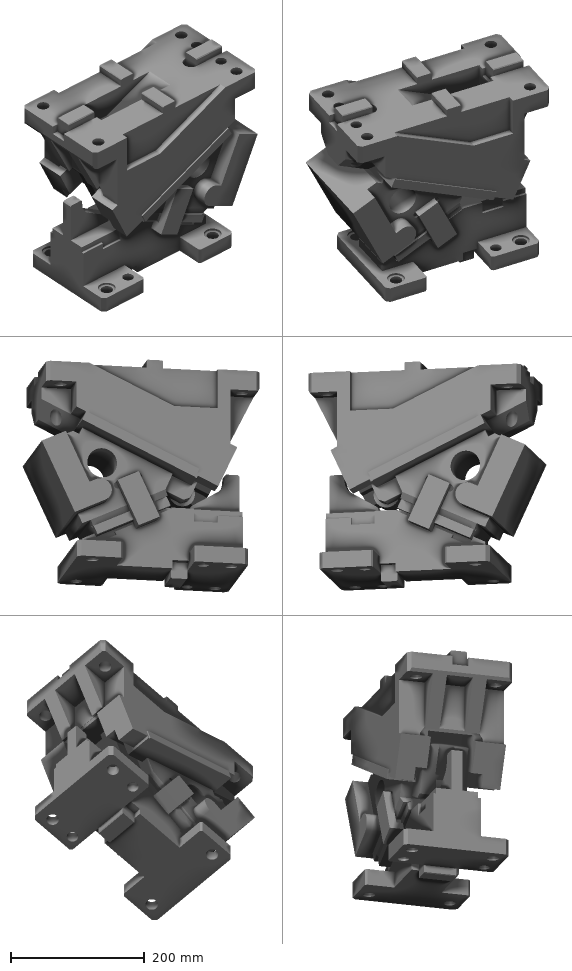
import cadquery as cq
import math


SLOPE = math.radians(25)
COS, SIN = math.cos(SLOPE), math.sin(SLOPE)

HALF_WIDTH = 82.5
CORNER_CHAMFER = 5.5
SCREW_X = 62.3
SCREW_RADIUS = 9.3
DOWEL_RADIUS = 8.5
KEY_CHAMFER = 1.3

FOOT_HEIGHT = 25.0
FRONT_FOOT_END = 82.5
REAR_FOOT_START = 192
BASE_LENGTH = 260.5
FOOT_INNER_CHAMFER = 3.0
FOOT_HOLE_X = 63.3
FOOT_SCREW_Y = (23.5, 235.0)
FOOT_DOWEL_Y = 66.0
COUNTERBORE_RADIUS = 13.3
COUNTERBORE_DEPTH = 3.3
COLUMN_HALF = 37.0
COLUMN_TOP = 94.0
COLUMN_END = 244.5
RELIEF_DEPTH = 4.0
RELIEF_STEP_Y = 39.0
RELIEF_FRONT_Z, RELIEF_REAR_Z = 85.0, 74.5
TOWER_HALF = 8.5
TOWER_TOP = 157.5
TOWER_END = 75.0
TOWER_CHAMFER = 2.0
TOWER_BACK = (22.2, TOWER_TOP)
THROAT_TOP, THROAT_MIDDLE, THROAT_BOTTOM = (23.5, 144.0), (26.2, 137.0), (32.5, 130.0)
SLOPE_FOOT = (73, 106)
HEEL_Z = 103.5
BASE_KEY_HALF = 25.5
BASE_KEY_Y = (82.5, 107.7)
BASE_KEY_Z = (-12.3, 13.0)

RAMP_START_Y, RAMP_START_Z = 224.3, 43.5
COLUMN_ALONG_RAMP = 5.0
RAIL_LENGTH = 125.2
RAIL_HALF = 40.5
RAIL_STEM_HALF = 27.2
RAIL_STEM_DEPTH = 4.3
RAIL_RELIEF_DEPTH = 9.5
RAIL_RELIEF_STEP = 30.0
FLANGE_HALF = 50.7
FLANGE_HEIGHT = 14.0
FLANGE_LENGTH = 87.8
VEE_EDGE_X, VEE_EDGE_UP = 47.0, 14.2
VEE_CREST_X, VEE_CREST_UP = 33.8, 17.0

BODY_HALF = 51.5
BODY_REAR, BODY_BOTTOM, BODY_TOP = -14.5, 24.0, 159
BODY_TOP_END = 32.8
ARM_HALF = 75.5
ARM_REAR, ARM_FRONT = -25.0, 15.5
ARM_BOTTOM, ARM_STEP = 39.8, 74.0
ARM_TIP = 43.5
BORE_Y, BORE_Z, BORE_RADIUS = 217.5, 154.0, 22.5
BRACKET_HALF = 63.5
BRACKET_INNER = 41.0
BRACKET_ALONG = (60.3, 95.8)
BRACKET_UP = (-13.3, 62.5)
BRACKET_FOOT_UP = -0.5
RELIEF_HOLE_RADIUS = 5.3
RELIEF_HOLE_UP = 57.0
RELIEF_HOLE_DEPTH = 3.3
NOSE_HALF = 33.5
NOSE_ALONG = (159, 199.0)
NOSE_UP = (-38.0, 45.0)
NOSE_CHAMFER = 7.5
NOSE_SLOT_HALF = 12.5
NOSE_SLOT_DEPTH = 10.3
STOP_HALF = 11.0
STOP_RADIUS = 20
STOP_Y, STOP_Z = 88.0, 124.0

GUIDE_START_Y, GUIDE_START_Z = 247.8, 223.5
SLIDER_TOP_UP = -15.5
SLIDER_NOTCH_UP = -26.2
SLIDER_NOTCH_ALONG = 7.3
WEAR_PAD_HALF = 49.7
GUIDE_BOTTOM_UP = -14.5
STRIP_HALF = 84.5
STRIP_LENGTH = 190.0

HOLDER_FRONT, HOLDER_REAR = -17.2, 307.8
PLATE_TOP, PLATE_BOTTOM = 299.5, 269.5
BODY_FRONT, REAR_BLOCK_START = 27.8, 262.7
BEVEL_TOP = 274.3
LEG_ALONG = (192.5, 227.0)
LEG_UP = (-10.3, 58.0)
LEG_CHANNEL_HALF = 53
LEG_CHANNEL_UP = 10.5
CHANNEL_HALF = 35.5
CHANNEL_WIDE_HALF = 40.0
CHANNEL_START = 152.5
CHANNEL_UP = 65.5
MOUTH_START = 209.0
MOUTH_HALF, MOUTH_TOP_HALF = 49.5, 42.0
MOUTH_SHOULDER_UP = 61.3
MOUTH_TOP_UP = 71.0
LIP_TOP_HALF, LIP_BOTTOM_HALF = 39.0, 16.0
LIP_UP = -23.5
RIB_X = (20.5, 42.0)
RIB_TOE_Y = 22.5
RIB_BOTTOM_UP = 69.2
POCKET_HALF = 23.0
POCKET_Y = (48.5, 186.0)
POCKET_DEPTH = 40.5
SIDE_POCKET_INNER = 72.0
SIDE_POCKET_Y = (47.5, 243.0)
SIDE_POCKET_DEPTH = 60.3
HOLDER_SCREW_Y = (7.5, 283.3)
HOLDER_DOWEL_X = 27.5
KEY_TOP = 311.8
KEY_HALF = 12.5
KEY_SLOT_FLOOR = 286.3
FRONT_KEY_Y = (-8.0, 43.5)
REAR_KEY_Y = (247.5, 299.0)
REAR_SLOT_CENTRE = 247.8
CROSS_KEY_Y = (128.5, 153.5)
CROSS_KEY_X = (23.0, 72.0)


def on_ramp(along, up):
    """(Y, Z) of a point given from the rear foot of the ramp, along it toward the front and off it."""
    return RAMP_START_Y - along * COS + up * SIN, RAMP_START_Z + along * SIN + up * COS


def on_guide(along, up):
    """(Y, Z) of a point given from the rear end of the guide, along it toward the front and off it."""
    return GUIDE_START_Y - along * COS - up * SIN, GUIDE_START_Z - along * SIN + up * COS


def guide_height(y):
    """Height of the guide line above a Y position."""
    return GUIDE_START_Z + (y - GUIDE_START_Y) * SIN / COS


def box(x, y, z):
    """A box between pairs of limits."""
    size = [limits[1] - limits[0] for limits in (x, y, z)]
    return cq.Workplane("XY").box(*size, centered=False).translate((x[0], y[0], z[0]))


def slab(points, half):
    """A side outline of (Y, Z) points, extruded to both sides of the symmetry plane."""
    return cq.Workplane("YZ").polyline(points).close().extrude(half, both=True)


def mirrored(shape):
    """The shape together with its mirror image across X = 0."""
    return shape.union(shape.mirror("YZ"))


def slab_pair(points, inner, outer):
    """A side outline extruded between two distances from the symmetry plane, on both sides."""
    layer = cq.Workplane("YZ").workplane(offset=inner).polyline(points).close().extrude(outer - inner)
    return mirrored(layer)


def sloped_box(place, along, up):
    """Corner points of a rectangle given in the ramp or guide directions."""
    return [place(along[0], up[0]), place(along[1], up[0]), place(along[1], up[1]), place(along[0], up[1])]


def sloped_bar(place, along, profile):
    """A symmetric cross-section, given by its +X points (x, up), extruded along the ramp or guide."""
    y0, z0 = place(along[0], 0)
    y1, z1 = place(along[1], 0)
    plane = cq.Plane(origin=(0, y0, z0), xDir=(1, 0, 0), normal=(0, y1 - y0, z1 - z0))
    points = profile + [(-x, up) for x, up in reversed(profile)]
    return cq.Workplane(plane).polyline(points).close().extrude(along[1] - along[0])


def vertical_holes(places, radius, z):
    """Cylinders at (X, Y) places between two heights."""
    return cq.Workplane("XY").workplane(offset=z[0]).pushPoints(places).circle(radius).extrude(z[1] - z[0])




def make_feet():
    """Front and rear feet with corner chamfers, counterbored screw holes and front dowel holes."""
    front = box((-HALF_WIDTH, HALF_WIDTH), (0, FRONT_FOOT_END), (0, FOOT_HEIGHT))
    rear = box((-HALF_WIDTH, HALF_WIDTH), (REAR_FOOT_START, BASE_LENGTH), (0, FOOT_HEIGHT))
    front = front.faces("<Y").edges("|Z").chamfer(CORNER_CHAMFER)
    front = front.faces(">Y").edges("|Z").chamfer(FOOT_INNER_CHAMFER)
    rear = rear.faces(">Y").edges("|Z").chamfer(CORNER_CHAMFER)
    rear = rear.faces("<Y").edges("|Z").chamfer(FOOT_INNER_CHAMFER)
    feet = front.union(rear)

    screws = [(side * FOOT_HOLE_X, y) for side in (-1, 1) for y in FOOT_SCREW_Y]
    dowels = [(side * FOOT_HOLE_X, FOOT_DOWEL_Y) for side in (-1, 1)]
    feet = feet.cut(vertical_holes(screws, SCREW_RADIUS, (0, FOOT_HEIGHT)))
    counterbore_z = (FOOT_HEIGHT - COUNTERBORE_DEPTH, FOOT_HEIGHT)
    feet = feet.cut(vertical_holes(screws, COUNTERBORE_RADIUS, counterbore_z))
    return feet.cut(vertical_holes(dowels, DOWEL_RADIUS, (0, FOOT_HEIGHT)))


def make_column():
    rear_top = RAMP_START_Z + (RAMP_START_Y - COLUMN_END) * SIN / COS + COLUMN_ALONG_RAMP / COS
    flat_end = COLUMN_END - (COLUMN_TOP - rear_top) * COS / SIN
    outline = [(0, 0), (0, COLUMN_TOP), (flat_end, COLUMN_TOP), (COLUMN_END, rear_top), (COLUMN_END, 0)]
    column = slab(outline, COLUMN_HALF)

    front_relief = [
        (0, COLUMN_TOP), (0, RELIEF_FRONT_Z), (RELIEF_STEP_Y, RELIEF_FRONT_Z),
        (RELIEF_STEP_Y, RELIEF_REAR_Z), (TOWER_END, RELIEF_REAR_Z), (TOWER_END, COLUMN_TOP),
    ]
    rail_relief = [
        on_ramp(0, COLUMN_ALONG_RAMP), on_ramp(0, -RAIL_RELIEF_DEPTH),
        on_ramp(RAIL_RELIEF_STEP, -RAIL_RELIEF_DEPTH), on_ramp(RAIL_RELIEF_STEP, -RAIL_STEM_DEPTH),
        on_ramp(RAIL_LENGTH, -RAIL_STEM_DEPTH), on_ramp(RAIL_LENGTH, COLUMN_ALONG_RAMP),
    ]
    for relief in (front_relief, rail_relief):
        column = column.cut(slab_pair(relief, COLUMN_HALF - RELIEF_DEPTH, COLUMN_HALF))
    return column


def make_rail():
    """Rail with a vee-shaped top; its rear part carries the flanges that the slider brackets hook under."""
    head = sloped_bar(on_ramp, (0, RAIL_LENGTH), [
        (RAIL_STEM_HALF, -RAIL_STEM_DEPTH), (RAIL_STEM_HALF, 0), (RAIL_HALF, 0),
        (RAIL_HALF, FLANGE_HEIGHT), (VEE_CREST_X, VEE_CREST_UP),
    ])
    flange = sloped_bar(on_ramp, (0, FLANGE_LENGTH), [(FLANGE_HALF, 0), (FLANGE_HALF, FLANGE_HEIGHT)])
    return head.union(flange)


def make_tower():
    outline = (
        cq.Workplane("YZ").moveTo(0, COLUMN_TOP).lineTo(0, TOWER_TOP).lineTo(*TOWER_BACK)
        .lineTo(*THROAT_TOP).threePointArc(THROAT_MIDDLE, THROAT_BOTTOM).lineTo(*SLOPE_FOOT)
        .lineTo(TOWER_END, HEEL_Z).lineTo(TOWER_END, COLUMN_TOP).close()
    )
    return outline.extrude(TOWER_HALF, both=True).faces(">Z").edges("|X").chamfer(TOWER_CHAMFER)


def make_base():
    key = box((-BASE_KEY_HALF, BASE_KEY_HALF), BASE_KEY_Y, BASE_KEY_Z)
    key = key.faces("<Z").edges("|X").chamfer(KEY_CHAMFER)
    key_slot = box((-COLUMN_HALF, COLUMN_HALF), BASE_KEY_Y, (0, BASE_KEY_Z[1]))
    column = make_column().cut(key_slot)
    return column.union(make_feet()).union(make_rail()).union(make_tower()).union(key)




def make_slider_body():
    body = slab([
        on_ramp(BODY_REAR, BODY_BOTTOM), on_ramp(RAIL_LENGTH, BODY_BOTTOM),
        on_guide(NOSE_ALONG[0], SLIDER_TOP_UP),
        on_guide(SLIDER_NOTCH_ALONG, SLIDER_TOP_UP), on_guide(SLIDER_NOTCH_ALONG, SLIDER_NOTCH_UP),
        on_ramp(BODY_TOP_END, BODY_TOP), on_ramp(BODY_REAR, BODY_TOP),
    ], BODY_HALF)
    vee = sloped_bar(on_ramp, (0, RAIL_LENGTH), [
        (VEE_CREST_X, VEE_CREST_UP), (VEE_EDGE_X, VEE_EDGE_UP), (BODY_HALF, BODY_BOTTOM),
    ])
    pad_along = (SLIDER_NOTCH_ALONG, NOSE_ALONG[0])
    wear_pad = slab(sloped_box(on_guide, pad_along, (SLIDER_TOP_UP, GUIDE_BOTTOM_UP)), WEAR_PAD_HALF)
    return body.union(vee).union(wear_pad)


def make_arms():
    """L-shaped plate across the rear of the slider, wider than its body."""
    tip_radius = (ARM_STEP - ARM_BOTTOM) / 2
    tip_centre = ARM_TIP - tip_radius
    outline = (
        cq.Workplane("YZ").moveTo(*on_ramp(ARM_REAR, ARM_BOTTOM)).lineTo(*on_ramp(tip_centre, ARM_BOTTOM))
        .threePointArc(on_ramp(ARM_TIP, ARM_BOTTOM + tip_radius), on_ramp(tip_centre, ARM_STEP))
        .lineTo(*on_ramp(ARM_FRONT, ARM_STEP)).lineTo(*on_ramp(ARM_FRONT, BODY_TOP))
        .lineTo(*on_ramp(ARM_REAR, BODY_TOP)).close()
    )
    return outline.extrude(ARM_HALF, both=True)


def make_brackets():
    """L-shaped brackets on both sides, with feet reaching under the rail flanges."""
    foot_up = (BRACKET_UP[0], BRACKET_FOOT_UP)
    sides = slab_pair(sloped_box(on_ramp, BRACKET_ALONG, BRACKET_UP), BODY_HALF, BRACKET_HALF)
    feet = slab_pair(sloped_box(on_ramp, BRACKET_ALONG, foot_up), BRACKET_INNER, BRACKET_HALF)
    return sides.union(feet)


def bracket_corner_reliefs():
    centres = [on_ramp(along, RELIEF_HOLE_UP) for along in BRACKET_ALONG]
    floor = cq.Workplane("YZ").workplane(offset=BODY_HALF - RELIEF_HOLE_DEPTH)
    return mirrored(floor.pushPoints(centres).circle(RELIEF_HOLE_RADIUS).extrude(RELIEF_HOLE_DEPTH))


def make_nose():
    """Central block running in the holder channel, slotted for the tower, with a rounded stop below."""
    rear, front = NOSE_ALONG
    bottom, top = NOSE_UP
    nose = slab([
        on_guide(rear, top), on_guide(rear, bottom), on_guide(front - NOSE_CHAMFER, bottom),
        on_guide(front, bottom + NOSE_CHAMFER), on_guide(front, top),
    ], NOSE_HALF)
    slot = slab(sloped_box(on_guide, (front - NOSE_SLOT_DEPTH, front), (0, top)), NOSE_SLOT_HALF)
    stop = cq.Workplane("YZ").center(STOP_Y, STOP_Z).circle(STOP_RADIUS).extrude(STOP_HALF, both=True)
    return nose.cut(slot).union(stop)


def make_slider():
    bore = cq.Workplane("YZ").center(BORE_Y, BORE_Z).circle(BORE_RADIUS).extrude(ARM_HALF, both=True)
    slider = make_slider_body().union(make_arms()).cut(bore).cut(bracket_corner_reliefs())
    return slider.union(make_brackets()).union(make_nose())




def make_plate():
    plate = box((-HALF_WIDTH, HALF_WIDTH), (HOLDER_FRONT, HOLDER_REAR), (PLATE_BOTTOM, PLATE_TOP))
    return plate.edges("|Z").chamfer(CORNER_CHAMFER)


def make_holder_body():
    leg_rear, leg_front = LEG_ALONG
    leg_bottom, leg_top = LEG_UP
    body = slab([
        (BODY_FRONT, PLATE_BOTTOM), (REAR_BLOCK_START, PLATE_BOTTOM),
        (REAR_BLOCK_START, guide_height(REAR_BLOCK_START)), on_guide(0, 0),
        on_guide(0, GUIDE_BOTTOM_UP), on_guide(leg_rear, GUIDE_BOTTOM_UP),
        on_guide(leg_rear, leg_bottom), on_guide(leg_front, leg_bottom), on_guide(leg_front, leg_top),
        (BODY_FRONT, guide_height(BODY_FRONT) + leg_top / COS),
    ], HALF_WIDTH)
    strip = slab(sloped_box(on_guide, (0, STRIP_LENGTH), (GUIDE_BOTTOM_UP, 0)), STRIP_HALF)
    nose_channel = sloped_bar(on_guide, (CHANNEL_START, leg_front), [
        (CHANNEL_WIDE_HALF, GUIDE_BOTTOM_UP), (CHANNEL_WIDE_HALF, LEG_CHANNEL_UP),
        (CHANNEL_HALF, LEG_CHANNEL_UP), (CHANNEL_HALF, CHANNEL_UP),
    ])
    leg_channel = slab(sloped_box(on_guide, LEG_ALONG, (GUIDE_BOTTOM_UP, LEG_CHANNEL_UP)), LEG_CHANNEL_HALF)
    mouth = sloped_bar(on_guide, (MOUTH_START, leg_front), [
        (MOUTH_HALF, leg_top), (MOUTH_HALF, MOUTH_SHOULDER_UP), (MOUTH_TOP_HALF, MOUTH_TOP_UP),
    ])
    return body.union(strip).cut(nose_channel).cut(leg_channel).cut(mouth)


def make_rear_block():
    """Narrower block behind the body, ending below in a vee lip that slopes with the guide."""
    block = slab([
        (REAR_BLOCK_START, PLATE_BOTTOM), (HOLDER_REAR, PLATE_BOTTOM),
        (HOLDER_REAR, guide_height(HOLDER_REAR)), on_guide(0, 0),
    ], LIP_TOP_HALF)
    lip_start = (GUIDE_START_Y - HOLDER_REAR) / COS + LIP_UP
    lip = sloped_bar(on_guide, (lip_start, 0), [(LIP_BOTTOM_HALF, LIP_UP), (LIP_TOP_HALF, 0)])
    limit = box((-HALF_WIDTH, HALF_WIDTH), (0, HOLDER_REAR), (0, PLATE_TOP))
    return block.union(lip.intersect(limit))


def rib_bottom(y):
    """Height of the rib undersides, which run parallel to the guide, at a Y position."""
    return guide_height(y) + RIB_BOTTOM_UP / COS


def make_ribs():
    outline = [
        (BODY_FRONT, PLATE_BOTTOM), (HOLDER_FRONT, BEVEL_TOP),
        (RIB_TOE_Y, rib_bottom(RIB_TOE_Y)), (BODY_FRONT, rib_bottom(BODY_FRONT)),
    ]
    return slab_pair(outline, *RIB_X)


def front_bevel():
    """Wedge that continues the sloping rib fronts across the lower front edge of the plate."""
    rib_run = (RIB_TOE_Y - HOLDER_FRONT) / (BEVEL_TOP - rib_bottom(RIB_TOE_Y))
    bevel_depth = (BEVEL_TOP - PLATE_BOTTOM) * rib_run
    return slab([
        (HOLDER_FRONT, BEVEL_TOP), (HOLDER_FRONT, PLATE_BOTTOM), (HOLDER_FRONT + bevel_depth, PLATE_BOTTOM),
    ], HALF_WIDTH)


def pocket_outline(y, depth):
    """Pocket with a flat front floor and a rear floor that slopes up with the guide to the plate top."""
    front, rear = y
    floor = PLATE_TOP - depth
    return [(front, PLATE_TOP), (front, floor), (rear - depth * COS / SIN, floor), (rear, PLATE_TOP)]


def long_key(y):
    """Key along Y, seated in a slot of the plate."""
    key = box((-KEY_HALF, KEY_HALF), y, (KEY_SLOT_FLOOR, KEY_TOP))
    return key.faces(">Z").edges("|Y").chamfer(KEY_CHAMFER)


def cross_keys():
    right = box(CROSS_KEY_X, CROSS_KEY_Y, (PLATE_TOP, KEY_TOP))
    return mirrored(right.faces(">Z").edges("|X").chamfer(KEY_CHAMFER))


def key_slots():
    height = (KEY_SLOT_FLOOR, PLATE_TOP)
    front = box((-KEY_HALF, KEY_HALF), (HOLDER_FRONT, POCKET_Y[0]), height)
    rear = box((-KEY_HALF, KEY_HALF), (REAR_SLOT_CENTRE, HOLDER_REAR), height)
    return front.union(rear).union(vertical_holes([(0, REAR_SLOT_CENTRE)], KEY_HALF, height))


def make_holder():
    holder = make_plate().union(make_holder_body()).union(make_rear_block()).union(make_ribs())
    holder = holder.cut(front_bevel()).cut(key_slots())
    holder = holder.cut(slab(pocket_outline(POCKET_Y, POCKET_DEPTH), POCKET_HALF))
    side_pocket = pocket_outline(SIDE_POCKET_Y, SIDE_POCKET_DEPTH)
    holder = holder.cut(slab_pair(side_pocket, SIDE_POCKET_INNER, HALF_WIDTH))

    front_screw_y, rear_y = HOLDER_SCREW_Y
    front_screws = [(side * SCREW_X, front_screw_y) for side in (-1, 1)]
    rear_screws = [(side * SCREW_X, rear_y) for side in (-1, 1)]
    dowels = [(side * HOLDER_DOWEL_X, rear_y) for side in (-1, 1)]
    holder = holder.cut(vertical_holes(front_screws, SCREW_RADIUS, (PLATE_BOTTOM, PLATE_TOP)))
    holder = holder.cut(vertical_holes(rear_screws, SCREW_RADIUS, (0, PLATE_TOP)))
    holder = holder.cut(vertical_holes(dowels, DOWEL_RADIUS, (0, PLATE_TOP)))
    return holder.union(long_key(FRONT_KEY_Y)).union(long_key(REAR_KEY_Y)).union(cross_keys())


base = make_base()
slider = make_slider()
holder = make_holder()

result = cq.Compound.makeCompound([base.val(), slider.val(), holder.val()])